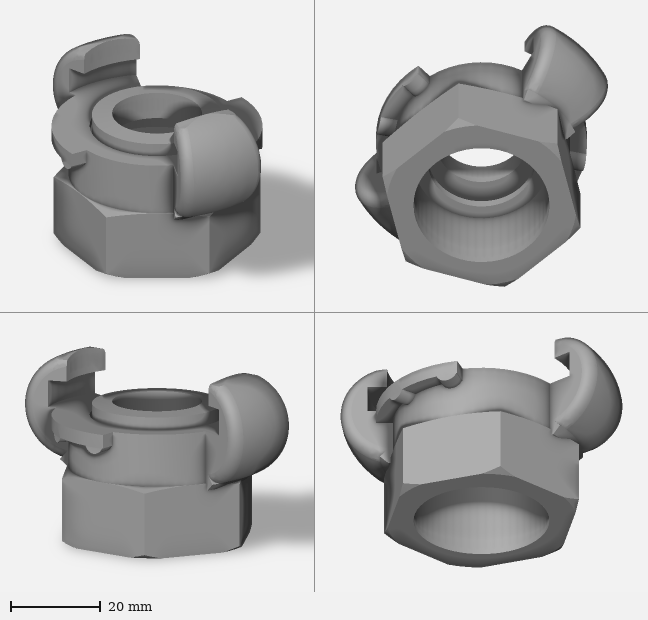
import cadquery as cq
import math

hex_flats = 39.9
hex_height = 16.1
hex_corner_radius = hex_flats / math.sqrt(3)
bottom_face_radius = 21.2
bottom_chamfer_height = 1.15
top_chamfer_height = 0.95

body_radius = 19.75
body_top = 27.95
flange_radius = 47.0 / 2
flange_bottom = 24.85
bump_radius = 2.5
bump_axis_z = 25.85
bump_spacing = 35.0

claw_half_angle = 20.0
claw_root_radius = 17.6
claw_wall_radius = 25.4
claw_lip_radius = 21.0
claw_lip_bottom = 34.05
claw_arc_radius = 12.1
claw_outer_radius = 31.45
claw_arc_center_z = body_top
claw_edge_fillet = 2.4
claw_crown_radius = 23.65
claw_neck_radius = 22.65
claw_foot_radius = 20.75
claw_foot_z = 14.65
claw_foot_top = 18.25
claw_arc_center_r = claw_outer_radius - claw_arc_radius
claw_lip_top = claw_arc_center_z + math.sqrt(
    claw_arc_radius**2 - (claw_lip_radius - claw_arc_center_r)**2
)
claw_neck_z = claw_arc_center_z - math.sqrt(
    claw_arc_radius**2 - (claw_neck_radius - claw_arc_center_r)**2
)

thread_radius = 30.25 / 2
thread_depth = 17.8
throat_radius = 24.0 / 2
shoulder_z = 19.95
groove_radius = 35.0 / 2
groove_bottom = 24.7
groove_height = 1.6
mouth_radius = 30.0 / 2

seal_bore_radius = 20.0 / 2
seal_radius = 29.0 / 2
seal_rim_radius = 34.5 / 2
seal_edge_z = 30.65
seal_top = 31.0


def cylinder(radius, bottom, top):
    return cq.Workplane("XY").workplane(offset=bottom).circle(radius).extrude(top - bottom)


def make_hex_base():
    """Hexagon with corners on X, its corners turned off by shallow cones."""
    prism = cq.Workplane("XY").polygon(6, 2 * hex_corner_radius).extrude(hex_height)
    turned_envelope = (
        cq.Workplane("XZ")
        .moveTo(0, 0)
        .lineTo(bottom_face_radius, 0)
        .lineTo(hex_corner_radius, bottom_chamfer_height)
        .lineTo(hex_corner_radius, hex_height - top_chamfer_height)
        .lineTo(hex_flats / 2, hex_height)
        .lineTo(0, hex_height)
        .close()
        .revolve(360, (0, 0), (0, 1))
    )
    return prism.intersect(turned_envelope)


def make_flange():
    """Flange on the -Y side, from its stop face near X = 0 to the -X claw."""
    claw_angle = math.radians(claw_half_angle)
    reach = 2 * flange_radius
    flange = (
        cq.Workplane("XY")
        .workplane(offset=flange_bottom)
        .polyline([
            (0, 0),
            (bump_radius, 0),
            (bump_radius, -reach),
            (-reach, -reach),
            (-reach, -reach * math.tan(claw_angle)),
        ])
        .close()
        .extrude(body_top - flange_bottom)
    )
    for angle in (0, -bump_spacing):
        bump = (
            cq.Workplane("XZ")
            .center(0, bump_axis_z)
            .circle(bump_radius)
            .extrude(reach)
            .rotate((0, 0, 0), (0, 0, 1), angle)
        )
        flange = flange.union(bump)
    return flange.intersect(cylinder(flange_radius, 0, body_top))


def sweep_claw_profile(profile):
    """Revolve a closed radial profile over the angular width of a claw."""
    return profile.revolve(2 * claw_half_angle, (0, 0), (0, 1)).rotate(
        (0, 0, 0), (0, 0, 1), -claw_half_angle
    )


def make_claw_foot():
    """Flared foot that ties the claw on the +X side to the corner of the hexagon."""
    profile = cq.Workplane("XZ").polyline([
        (claw_root_radius, claw_foot_z),
        (claw_foot_radius, claw_foot_z),
        (claw_neck_radius, claw_neck_z),
        (claw_foot_radius, claw_foot_top),
        (claw_root_radius, claw_foot_top),
    ]).close()
    return sweep_claw_profile(profile)


def make_claw():
    """Hooked claw on the +X side with rounded outer edges and a crowned tip."""
    profile = (
        cq.Workplane("XZ")
        .moveTo(claw_root_radius, body_top)
        .lineTo(claw_wall_radius, body_top)
        .lineTo(claw_wall_radius, claw_lip_bottom)
        .lineTo(claw_lip_radius, claw_lip_bottom)
        .lineTo(claw_lip_radius, claw_lip_top)
        .threePointArc(
            (claw_outer_radius, claw_arc_center_z),
            (claw_arc_center_r, claw_arc_center_z - claw_arc_radius),
        )
        .lineTo(claw_root_radius, claw_arc_center_z - claw_arc_radius)
        .close()
    )
    claw = sweep_claw_profile(profile)
    side_arcs = [
        edge for edge in claw.edges("%CIRCLE").vals()
        if abs(edge.radius() - claw_arc_radius) < 0.005
    ]
    claw = claw.newObject(side_arcs).fillet(claw_edge_fillet)
    crown = (
        cq.Workplane("YZ")
        .center(0, claw_lip_top - claw_crown_radius)
        .circle(claw_crown_radius)
        .extrude(claw_outer_radius)
    )
    return claw.intersect(crown)


def make_housing():
    housing = make_hex_base().union(cylinder(body_radius, hex_height / 2, body_top))
    for angle in (0, 180):
        for feature in (make_flange(), make_claw(), make_claw_foot()):
            housing = housing.union(feature.rotate((0, 0, 0), (0, 0, 1), angle))
    return (
        housing
        .cut(cylinder(thread_radius, 0, thread_depth))
        .cut(cylinder(throat_radius, thread_depth, shoulder_z))
        .cut(cylinder(thread_radius, shoulder_z, groove_bottom))
        .cut(cylinder(groove_radius, groove_bottom, groove_bottom + groove_height))
        .cut(cylinder(mouth_radius, groove_bottom + groove_height, body_top))
    )


def make_seal():
    """Ring whose wide rim sits in the groove and whose top rises towards the bore."""
    rim_top = groove_bottom + groove_height
    return (
        cq.Workplane("XZ")
        .polyline([
            (seal_bore_radius, groove_bottom),
            (seal_rim_radius, groove_bottom),
            (seal_rim_radius, rim_top),
            (seal_radius, rim_top),
            (seal_radius, seal_edge_z),
            (seal_bore_radius, seal_top),
        ])
        .close()
        .revolve(360, (0, 0), (0, 1))
    )


housing = make_housing()
seal = make_seal()
result = cq.Compound.makeCompound([housing.val(), seal.val()])